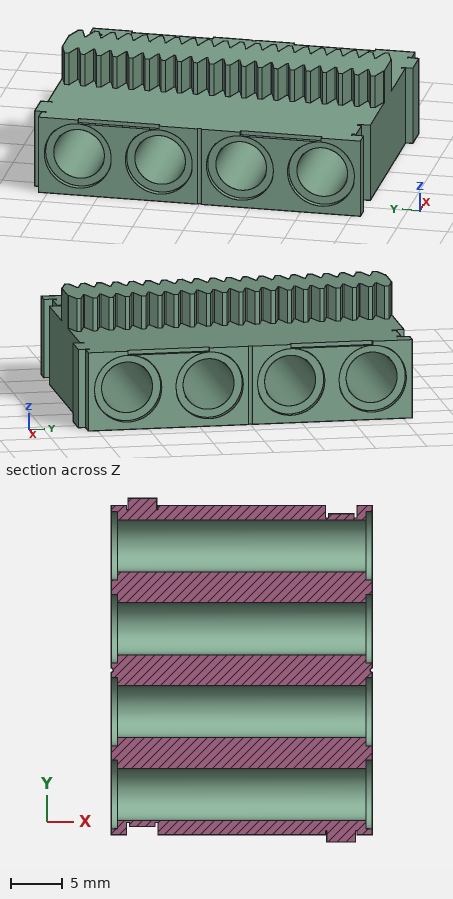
import cadquery as cq

length_x = 25.2
body_length_y = 31.8
body_height = 7.75
total_height = 11.0
half_x = length_x / 2
half_y = body_length_y / 2

rail_half_width = 3.25
rail_root_half_width = 1.65
tooth_count = 20
tooth_pitch = body_length_y / tooth_count
tooth_crest = 0.42
tooth_valley = 0.14

bore_diameter = 5.0
counterbore_diameter = 6.6
counterbore_depth = 0.6
bore_height = 4.05
bore_spacing = 8.0
bore_count = 4
bore_positions = [(i - (bore_count - 1) / 2) * bore_spacing for i in range(bore_count)]

joint_offset_x = 9.6
socket_width = 3.0
socket_depth = 0.8
socket_relief_width = 0.25
tongue_projection = 0.7
tongue_width = 2.8
tongue_relief_width = (socket_width - tongue_width) / 2
relief_depth = 0.4

edge_step_depth = 0.4
edge_step_length = bore_spacing

side_groove_radius = 0.2


def box_between(x_range, y_range, z_range):
    """Box spanning the given (low, high) limits along each axis."""
    spans = [(min(r), max(r) - min(r)) for r in (x_range, y_range, z_range)]
    corner = tuple(start for start, _ in spans)
    size = [extent for _, extent in spans]
    return cq.Workplane("XY").box(*size, centered=False).translate(corner)


def make_body():
    return cq.Workplane("XY").box(length_x, body_length_y, body_height, centered=(True, True, False))


def make_toothed_rail():
    """Rail with one row of teeth along each long side, each end falling in mid-valley."""
    half_crest = tooth_crest / 2
    half_root = (tooth_pitch - tooth_valley) / 2
    side = []
    for i in range(tooth_count):
        center_y = -half_y + (i + 0.5) * tooth_pitch
        side += [
            (rail_root_half_width, center_y - half_root),
            (rail_half_width, center_y - half_crest),
            (rail_half_width, center_y + half_crest),
            (rail_root_half_width, center_y + half_root),
        ]
    side = [(rail_root_half_width, -half_y)] + side + [(rail_root_half_width, half_y)]
    opposite_side = [(-x, y) for x, y in reversed(side)]
    return cq.Workplane("XY").polyline(side + opposite_side).close().extrude(total_height)


def make_bores():
    """Through bores along X, counterbored on both sides."""
    bores = (
        cq.Workplane("YZ", origin=(-half_x, 0, bore_height))
        .pushPoints([(y, 0) for y in bore_positions])
        .circle(bore_diameter / 2)
        .extrude(length_x)
    )
    for start_x in (-half_x, half_x - counterbore_depth):
        counterbores = (
            cq.Workplane("YZ", origin=(start_x, 0, bore_height))
            .pushPoints([(y, 0) for y in bore_positions])
            .circle(counterbore_diameter / 2)
            .extrude(counterbore_depth)
        )
        bores = bores.union(counterbores)
    return bores


def add_end_joint(part):
    """Tongue at -X and socket at +X on the +Y end, with relief slits beside both."""
    full_height = (0, body_height)

    socket_floor = half_y - socket_depth
    socket_half = socket_width / 2
    socket_x = (joint_offset_x - socket_half, joint_offset_x + socket_half)
    part = part.cut(box_between(socket_x, (socket_floor, half_y), full_height))

    tongue_half = tongue_width / 2
    tongue_x = (-joint_offset_x - tongue_half, -joint_offset_x + tongue_half)
    tongue_y = (half_y - relief_depth, half_y + tongue_projection)
    part = part.union(box_between(tongue_x, tongue_y, full_height))

    for side in (-1, 1):
        outer_offset = side * socket_half
        socket_slit_x = (
            joint_offset_x + outer_offset,
            joint_offset_x + outer_offset - side * socket_relief_width,
        )
        socket_slit_y = (socket_floor - relief_depth, socket_floor)
        part = part.cut(box_between(socket_slit_x, socket_slit_y, full_height))

        tongue_slit_x = (
            -joint_offset_x + outer_offset,
            -joint_offset_x + outer_offset - side * tongue_relief_width,
        )
        tongue_slit_y = (half_y - relief_depth, half_y)
        part = part.cut(box_between(tongue_slit_x, tongue_slit_y, full_height))
    return part


def cut_edge_steps(part):
    """Two steps on each top X edge, each running between two neighbouring bore axes."""
    step_z = (body_height - edge_step_depth, body_height)
    for side in (-1, 1):
        step_x = (side * half_x, side * (half_x - edge_step_depth))
        for start_y in bore_positions[::2]:
            step_y = (start_y, start_y + edge_step_length)
            part = part.cut(box_between(step_x, step_y, step_z))
    return part


def cut_side_grooves(part):
    """Half-round grooves over the full body height, centred on each X side."""
    grooves = (
        cq.Workplane("XY")
        .pushPoints([(-half_x, 0), (half_x, 0)])
        .circle(side_groove_radius)
        .extrude(body_height)
    )
    return part.cut(grooves)


part = make_body()
for _ in range(2):
    part = add_end_joint(part).rotate((0, 0, 0), (0, 0, 1), 180)
part = part.union(make_toothed_rail())
part = part.cut(make_bores())
part = cut_edge_steps(part)
part = cut_side_grooves(part)

result = part